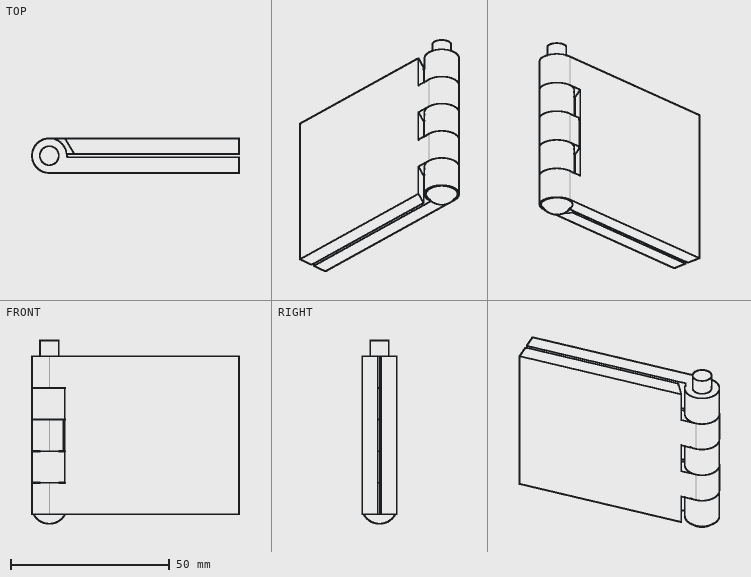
import cadquery as cq
leaf_height = 50.0
leaf_reach = 60.0
hinge_thickness = 11.0
leaf_gap = 1.0
knuckle_count = 5
knuckle_clearance = 0.04

pin_diameter = 6.0
pin_projection = 5.0
head_diameter = 10.0
head_height = 3.0

bevel_outer_x = 4.9
bevel_inner_x = 7.9
gap_start_x = 5.55
groove_start_x = 4.4

knuckle_radius = hinge_thickness / 2
half_gap = leaf_gap / 2
knuckle_height = leaf_height / knuckle_count
middle_index = knuckle_count // 2
FRONT = -1
REAR = 1


def make_leaf(side):
    """Plate of one leaf, on the given side of the slit, ending in the bevel."""
    outer_y = side * knuckle_radius
    inner_y = side * half_gap
    outline = [
        (bevel_outer_x, outer_y),
        (leaf_reach, outer_y),
        (leaf_reach, inner_y),
        (bevel_inner_x, inner_y),
    ]
    return cq.Workplane("XY").polyline(outline).close().extrude(leaf_height)


def make_knuckle(side, bottom, height):
    """Round knuckle with the web that joins it to the leaf on the given side."""
    outer_y = side * knuckle_radius
    inner_y = side * half_gap
    base = cq.Workplane("XY", origin=(0, 0, bottom))
    barrel = base.circle(knuckle_radius).extrude(height)
    web = (
        base.lineTo(0, outer_y)
        .lineTo(bevel_outer_x, outer_y)
        .lineTo(bevel_inner_x, inner_y)
        .lineTo(gap_start_x + half_gap, inner_y)
        .radiusArc((gap_start_x, 0), -side * half_gap)
        .close()
        .extrude(height)
    )
    return barrel.union(web)


def make_groove():
    """V-groove between the middle knuckle's web and the bevel of the front leaf."""
    bevel_slope = (bevel_inner_x - bevel_outer_x) / (knuckle_radius - half_gap)
    depth = (bevel_outer_x - groove_start_x) / (1 - bevel_slope)
    outline = [
        (groove_start_x, -knuckle_radius),
        (bevel_outer_x, -knuckle_radius),
        (groove_start_x + depth, -knuckle_radius + depth),
    ]
    base = cq.Workplane("XY", origin=(0, 0, middle_index * knuckle_height))
    return base.polyline(outline).close().extrude(knuckle_height)


def make_pin():
    """Straight pin standing above the knuckles, with a domed head below them."""
    shank = cq.Workplane("XY").circle(pin_diameter / 2).extrude(leaf_height + pin_projection)
    head_radius = head_diameter / 2
    dome_radius = (head_radius**2 + head_height**2) / (2 * head_height)
    head = (
        cq.Workplane("XZ")
        .lineTo(head_radius, 0)
        .radiusArc((0, -head_height), dome_radius)
        .close()
        .revolve(360, (0, 0), (0, 1))
    )
    return shank.union(head)


result = make_pin().union(make_leaf(FRONT)).union(make_leaf(REAR))
for index in range(knuckle_count):
    bottom = index * knuckle_height
    if index % 2 == 0:
        knuckle = make_knuckle(FRONT, bottom, knuckle_height)
    else:
        rear_height = knuckle_height - 2 * knuckle_clearance
        knuckle = make_knuckle(REAR, bottom + knuckle_clearance, rear_height)
    result = result.union(knuckle)
result = result.cut(make_groove())